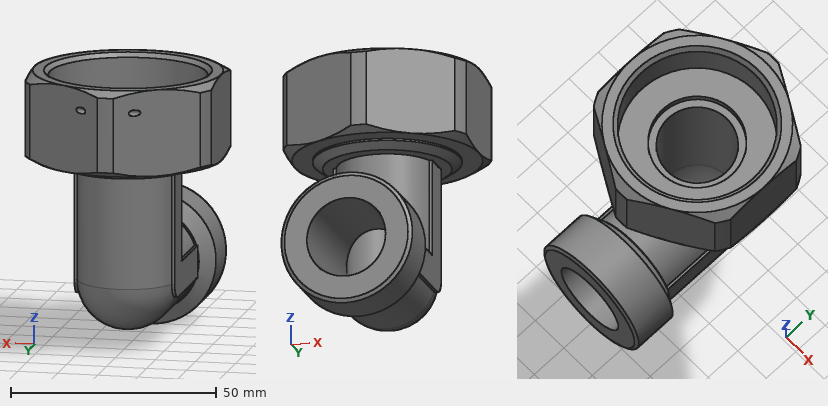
import cadquery as cq
import math

bore_dia = 20.0
tube_dia = 25.0
rib_span = 25.1
rib_width = 8.1
spigot_dia = 33.3
spigot_end = 36.45
spigot_length = 12.1
spigot_cone_length = 2.3
spigot_cone_dia = 25.8
spigot_chamfer_axial = 0.55
spigot_chamfer_radial = 0.95

nut_across_flats = 46.5
nut_corner_dia = 51.6
nut_height = 21.55
nut_top = 68.6 - spigot_dia / 2
nut_bottom = nut_top - nut_height
nut_bevel_angle = 30
nut_bore_dia = 38.9
nut_mouth_chamfer = 1.1
wire_hole_dia = 1.5
wire_hole_offset = 23.0
wire_hole_depth = 5.4

gasket_bore_dia = 24
gasket_thickness = 2.05
gasket_top = nut_top - 11.95
gasket_bottom = gasket_top - gasket_thickness

ring_dia = 36.5
ring_nose_dia = 31.55
ring_cone_height = 1.65
ring_projection = 2.1
ring_bottom = nut_bottom - ring_projection


def cylinder_z(diameter, bottom, top):
    return cq.Workplane("XY").workplane(offset=bottom).circle(diameter / 2).extrude(top - bottom)


def cylinder_front(diameter, length):
    """Cylinder from the origin towards -Y."""
    return cq.Workplane("XZ").circle(diameter / 2).extrude(length)


def round_elbow(diameter):
    """Two cylinders mitred at the inner corner, with a spherical outer corner."""
    upright = cylinder_z(diameter, 0, gasket_bottom)
    level = cylinder_front(diameter, spigot_end)
    return upright.union(level).union(cq.Workplane("XY").sphere(diameter / 2))


def make_side_ribs():
    """L-shaped slab through the elbow whose faces form the side flats."""
    half = rib_width / 2
    bend = half * math.sqrt(0.5)
    return (
        cq.Workplane("YZ")
        .workplane(offset=-rib_span / 2)
        .moveTo(half, ring_bottom)
        .lineTo(half, 0)
        .threePointArc((bend, -bend), (0, -half))
        .lineTo(-spigot_end + spigot_length, -half)
        .lineTo(-spigot_end + spigot_length, half)
        .lineTo(-half, half)
        .lineTo(-half, ring_bottom)
        .close()
        .extrude(rib_span)
    )


def make_spigot():
    """Thick front end: a cone, a cylinder and a chamfered rim, turned about Y."""
    back = -spigot_end + spigot_length + spigot_cone_length
    radius = spigot_dia / 2
    return (
        cq.Workplane("XY")
        .moveTo(0, back)
        .lineTo(spigot_cone_dia / 2, back)
        .lineTo(radius, back - spigot_cone_length)
        .lineTo(radius, -spigot_end + spigot_chamfer_axial)
        .lineTo(radius - spigot_chamfer_radial, -spigot_end)
        .lineTo(0, -spigot_end)
        .close()
        .revolve(360, (0, 0, 0), (0, 1, 0))
    )


def make_elbow():
    outside = round_elbow(tube_dia).union(make_side_ribs()).union(make_spigot())
    return outside.cut(round_elbow(bore_dia))


def make_nut_envelope():
    """Turned blank that rounds the corners and bevels both hexagon faces."""
    face_radius = nut_across_flats / 2
    corner_radius = nut_corner_dia / 2
    bevel = (corner_radius - face_radius) * math.tan(math.radians(nut_bevel_angle))
    return (
        cq.Workplane("XZ")
        .moveTo(0, nut_bottom)
        .lineTo(face_radius, nut_bottom)
        .lineTo(corner_radius, nut_bottom + bevel)
        .lineTo(corner_radius, nut_top - bevel)
        .lineTo(face_radius, nut_top)
        .lineTo(0, nut_top)
        .close()
        .revolve(360, (0, 0, 0), (0, 1, 0))
    )


def make_nut():
    across_corners = nut_across_flats / math.cos(math.radians(30))
    hexagon = (
        cq.Workplane("XY")
        .workplane(offset=nut_bottom)
        .polygon(6, across_corners)
        .extrude(nut_height)
        .rotate((0, 0, 0), (0, 0, 1), 30)
    )
    nut = hexagon.intersect(make_nut_envelope())
    nut = nut.cut(cylinder_z(ring_dia, nut_bottom, gasket_bottom))
    nut = nut.cut(cylinder_z(nut_bore_dia, gasket_bottom, nut_top))
    mouth = cq.Solid.makeCone(
        nut_bore_dia / 2,
        nut_bore_dia / 2 + nut_mouth_chamfer,
        nut_mouth_chamfer,
        cq.Vector(0, 0, nut_top - nut_mouth_chamfer),
    )
    wire_hole = (
        cq.Workplane("YZ")
        .center(wire_hole_offset, nut_top - wire_hole_depth)
        .circle(wire_hole_dia / 2)
        .extrude(nut_across_flats / 2, both=True)
    )
    return nut.cut(cq.Workplane(mouth)).cut(wire_hole)


def make_gasket():
    disc = cylinder_z(nut_bore_dia, gasket_bottom, gasket_top)
    return disc.cut(cylinder_z(gasket_bore_dia, gasket_bottom, gasket_top))


def make_retaining_ring():
    """Sleeve between tube and nut, with a conical nose below the nut."""
    return (
        cq.Workplane("XZ")
        .moveTo(tube_dia / 2, ring_bottom)
        .lineTo(ring_nose_dia / 2, ring_bottom)
        .lineTo(ring_dia / 2, ring_bottom + ring_cone_height)
        .lineTo(ring_dia / 2, gasket_bottom)
        .lineTo(tube_dia / 2, gasket_bottom)
        .close()
        .revolve(360, (0, 0, 0), (0, 1, 0))
    )


elbow = make_elbow()
nut = make_nut()
gasket = make_gasket()
retaining_ring = make_retaining_ring()

result = cq.Compound.makeCompound([elbow.val(), nut.val(), gasket.val(), retaining_ring.val()])